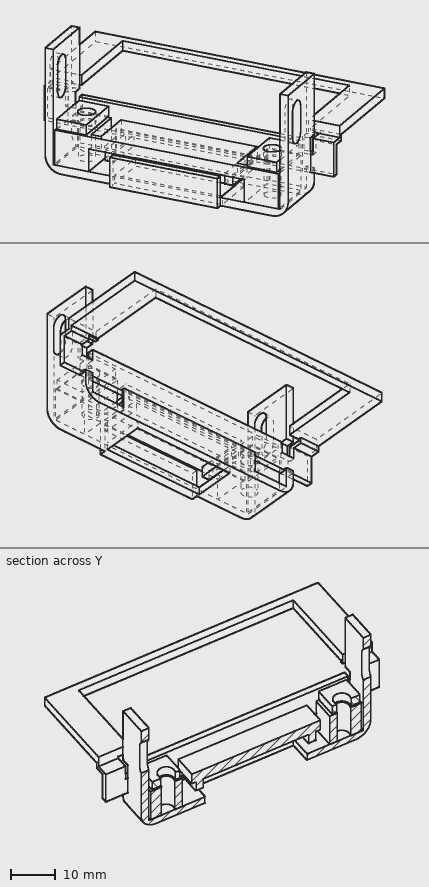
import cadquery as cq

SIDES = (-1, 1)

bracket_width = 60.05
bracket_height = 30.0
bracket_depth = 13.45
strip_thickness = 2.0
bend_radius = 4.0
leg_slot_diameter = 4.0
leg_slot_length = 10.3
leg_slot_y = 4.35
leg_slot_z = 21.9
leg_notch_top = 15.15
apron_width = 26.6
apron_thickness = 1.6
apron_height = 7.2
rear_lip_width = 38.0
floor_window_front = 0.85

frame_width = 71.5
total_depth = 39.0
plate_top = 18.0
plate_thickness = 2.4
rear_bar_depth = 2.0
arm_inner_x = 28.0
arm_front = 14.5
hanger_inner_x = 30.6
hanger_step_rear = 15.4
hanger_step_top = 15.15
panel_front = 11.45
panel_thickness = 1.5
panel_top = 14.1
panel_bottom = 6.8
panel_left = -27.2
panel_right = 27.6
cross_strip_top = 11.2
lug_inner_x = 19.9
lug_outer_x = 27.2
lug_bottom = 10.8
lug_thickness = 2.4
lug_hole_diameter = 4.0
screw_x = 22.95
screw_y = 6.6

holder_width = 55.2
holder_top = 10.5
tunnel_width = 38.5
tunnel_top = 7.5
holder_hole_diameter = 3.8
finger_slot_width = 2.4
finger_slot_front = 1.3
rail_outer_x = 15.7
rail_width = 2.0
rail_bottom = 4.85

half_bracket = bracket_width / 2
frame_back = total_depth - apron_thickness
panel_back = panel_front + panel_thickness


def box(x_range, y_range, z_range):
    """A block between two limits on each axis."""
    (x0, x1), (y0, y1), (z0, z1) = x_range, y_range, z_range
    return cq.Workplane("XY").box(x1 - x0, y1 - y0, z1 - z0, centered=False).translate((x0, y0, z0))


def span(side, near, far):
    """Limits in X of something between two distances from the centre, on one side."""
    return tuple(sorted((side * near, side * far)))


def centered_span(width):
    return (-width / 2, width / 2)


def screw_holes(diameter, bottom, top):
    """A pair of upright cylinders at the two screw positions."""
    return (
        cq.Workplane("XY", origin=(0, 0, bottom))
        .pushPoints([(side * screw_x, screw_y) for side in SIDES])
        .circle(diameter / 2)
        .extrude(top - bottom)
    )


def make_bracket():
    outside = box(centered_span(bracket_width), (0, bracket_depth), (0, bracket_height))
    outside = outside.edges("|Y and <Z").fillet(bend_radius)
    inside_width = bracket_width - 2 * strip_thickness
    inside = box(centered_span(inside_width), (0, bracket_depth), (strip_thickness, bracket_height))
    bracket = outside.cut(inside)

    leg_slots = (
        cq.Workplane("YZ", origin=(-half_bracket, 0, 0))
        .center(leg_slot_y, leg_slot_z)
        .slot2D(leg_slot_length, leg_slot_diameter, 90)
        .extrude(bracket_width)
    )
    bracket = bracket.cut(leg_slots)

    across = centered_span(bracket_width)
    notch = box(across, (panel_front, bracket_depth), (apron_height, leg_notch_top))
    seat = box(across, (panel_front, panel_back), (panel_bottom, apron_height))
    bracket = bracket.cut(notch).cut(seat)

    window = box(centered_span(apron_width), (floor_window_front, panel_front), (0, strip_thickness))
    bracket = bracket.cut(window)

    apron = box(centered_span(apron_width), (-apron_thickness, 0), (0, apron_height))
    rear_lip = box(centered_span(rear_lip_width), (panel_back, bracket_depth), (0, apron_height))
    return bracket.union(apron).union(rear_lip)


def make_frame():
    plate_bottom = plate_top - plate_thickness
    plate_z = (plate_bottom, plate_top)
    frame = box(centered_span(frame_width), (arm_front, frame_back), plate_z)
    opening = box(centered_span(2 * arm_inner_x), (arm_front, frame_back - rear_bar_depth), plate_z)
    frame = frame.cut(opening)

    hanger_profile = [
        (arm_front, plate_bottom),
        (hanger_step_rear, plate_bottom),
        (hanger_step_rear, panel_top),
        (panel_back, panel_top),
        (panel_back, panel_bottom),
        (panel_front, panel_bottom),
        (panel_front, hanger_step_top),
        (arm_front, hanger_step_top),
    ]
    hanger_width = frame_width / 2 - hanger_inner_x
    for hanger_left in (-frame_width / 2, hanger_inner_x):
        hanger = (
            cq.Workplane("YZ", origin=(hanger_left, 0, 0))
            .polyline(hanger_profile)
            .close()
            .extrude(hanger_width)
        )
        frame = frame.union(hanger)

    right_ledge = box(
        (arm_inner_x, hanger_inner_x),
        (arm_front, hanger_step_rear),
        (hanger_step_top, plate_bottom),
    )
    frame = frame.union(right_ledge)

    panel_y = (panel_front, panel_back)
    frame = frame.union(box(centered_span(2 * hanger_inner_x), panel_y, (panel_bottom, cross_strip_top)))
    frame = frame.union(box((panel_left, panel_right), panel_y, (panel_bottom, panel_top)))

    lug_top = lug_bottom + lug_thickness
    for side in SIDES:
        lug_x = span(side, lug_inner_x, lug_outer_x)
        frame = frame.union(box(lug_x, (0, panel_front), (lug_bottom, lug_top)))
    return frame.cut(screw_holes(lug_hole_diameter, lug_bottom, lug_top))


def make_holder():
    holder = box(centered_span(holder_width), (0, panel_front), (strip_thickness, holder_top))
    holder = holder.cut(box(centered_span(tunnel_width), (0, panel_front), (strip_thickness, tunnel_top)))

    wall_x = tunnel_width / 2
    along = (finger_slot_front, panel_front)
    for side in SIDES:
        slot_x = span(side, wall_x - finger_slot_width, wall_x)
        holder = holder.cut(box(slot_x, along, (tunnel_top, holder_top)))
        rail_x = span(side, rail_outer_x - rail_width, rail_outer_x)
        holder = holder.union(box(rail_x, along, (rail_bottom, tunnel_top)))

    return holder.cut(screw_holes(holder_hole_diameter, strip_thickness, holder_top))


bracket = make_bracket()
frame = make_frame()
holder = make_holder()

result = cq.Compound.makeCompound([bracket.val(), frame.val(), holder.val()])